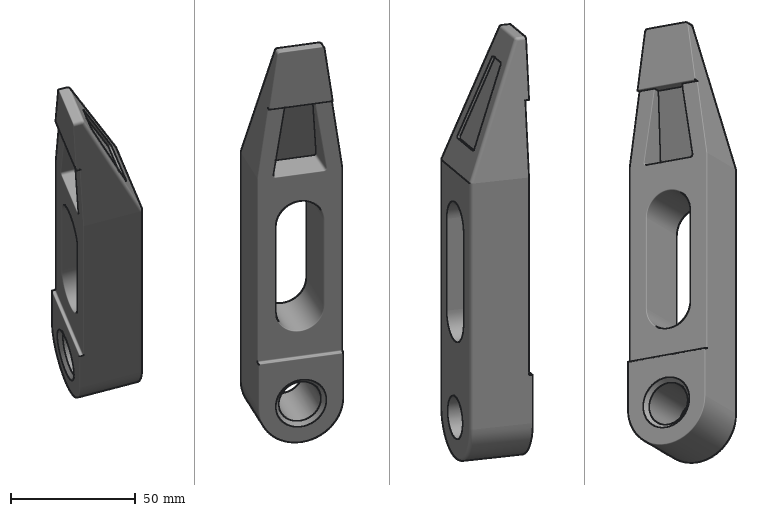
import cadquery as cq
import math

length = 177.8
width = 35.5
depth = 26.8

taper_start_z = 121.3
tip_width = 19.5
tip_depth = 4.6

back_radius = 1.5
front_radius = 0.4

relief_depth = 1.6
heel_pad_z = 38.0
heel_step_radius = 0.5
nose_pad_z = 152.4

slot_width = 20.0
slot_bottom_z = 49.8
slot_top_z = 108.3
hole_diameter = 17.6
hole_chamfer = 1.8
countersink_degrees = 45

pocket_bottom_z = 120.7
pocket_bottom_width = 22.4
pocket_top_width = 12.5
pocket_bottom_depth = 13.2
pocket_top_depth = 2.8
pocket_corner_radius = 1.0
pocket_draft_degrees = 2.5

recess_back_y = 22.5
recess_front_y = 9.0
recess_back_width = 20.0
recess_front_width = 10.3
recess_depth = 1.2
recess_corner_radius = 1.0

slope_rise = length - taper_start_z
slope_run = depth - tip_depth
slope_length = math.hypot(slope_rise, slope_run)
slope_normal = cq.Vector(0, slope_rise, slope_run).normalized()


def trapezoid(plane, low, low_width, high, high_width):
    """Symmetric trapezoid between two heights along the plane's second axis."""
    return plane.polyline([
        (-low_width / 2, low),
        (low_width / 2, low),
        (high_width / 2, high),
        (-high_width / 2, high),
    ]).close()


def side_prism(points):
    """Solid across the full width from a closed (Y, Z) outline."""
    return cq.Workplane("YZ").polyline(points).close().extrude(width / 2, both=True)


def make_blank():
    """Bar with a round heel and a nose that narrows both ways, before any rounding."""
    heel_radius = width / 2
    outline = (
        cq.Workplane("XZ")
        .moveTo(-heel_radius, heel_radius)
        .threePointArc((0, 0), (heel_radius, heel_radius))
        .lineTo(width / 2, taper_start_z)
        .lineTo(tip_width / 2, length)
        .lineTo(-tip_width / 2, length)
        .lineTo(-width / 2, taper_start_z)
        .close()
        .extrude(-depth)
    )
    profile = side_prism([
        (0, 0),
        (depth, 0),
        (depth, taper_start_z),
        (tip_depth, length),
        (0, length),
    ])
    return outline.intersect(profile)


def round_back_and_tip(body):
    """Round the rims of the back and of the slope and the two tip corners; the ridge between stays sharp."""
    slope_face = body.faces(cq.selectors.DirectionMinMaxSelector(slope_normal))
    tip_corners = body.faces(">Z").edges("|Y")
    ridge = body.faces(">Y").edges(">Z").val()
    rims = body.faces(">Y").edges().vals() + slope_face.edges().vals() + tip_corners.vals()
    return body.newObject([edge for edge in rims if not edge.isSame(ridge)]).fillet(back_radius)


def make_slot():
    """Upright through slot with round ends."""
    return (
        cq.Workplane("XZ")
        .center(0, (slot_bottom_z + slot_top_z) / 2)
        .slot2D(slot_top_z - slot_bottom_z, slot_width, 90)
        .extrude(-depth)
    )


def make_hole():
    """Through hole concentric with the heel, countersunk in the heel pad."""
    heel_center = cq.Workplane("XZ").center(0, width / 2)
    bore = heel_center.circle(hole_diameter / 2).extrude(-depth)
    countersink = (
        heel_center.circle(hole_diameter / 2 + hole_chamfer)
        .extrude(-hole_chamfer, taper=countersink_degrees)
    )
    return bore.union(countersink)


def make_pocket():
    """Pocket with drafted walls, rounded lower corners and a sloping floor."""
    mouth = cq.Workplane("XZ", origin=(0, relief_depth, 0))
    tapered_block = (
        trapezoid(mouth, pocket_bottom_z, pocket_bottom_width, nose_pad_z, pocket_top_width)
        .extrude(-pocket_bottom_depth, taper=pocket_draft_degrees)
    )
    lower_corners = cq.selectors.BoxSelector(
        (-width, relief_depth + front_radius, 0),
        (width, relief_depth + pocket_bottom_depth - front_radius, (pocket_bottom_z + nose_pad_z) / 2),
    )
    rounded_block = tapered_block.edges(lower_corners).fillet(pocket_corner_radius)
    floor_limit = side_prism([
        (relief_depth, pocket_bottom_z),
        (relief_depth + pocket_bottom_depth, pocket_bottom_z),
        (relief_depth + pocket_top_depth, nose_pad_z),
        (relief_depth, nose_pad_z),
    ])
    return rounded_block.intersect(floor_limit)


def make_recess():
    """Shallow trapezoid sunk square to the slope."""
    slope_foot = (0, depth, taper_start_z)
    slope_plane = cq.Plane(origin=slope_foot, xDir=(-1, 0, 0), normal=slope_normal.toTuple())
    low = (depth - recess_back_y) * slope_length / slope_run
    high = (depth - recess_front_y) * slope_length / slope_run
    return (
        trapezoid(cq.Workplane(slope_plane), low, recess_back_width, high, recess_front_width)
        .extrude(-recess_depth)
        .edges(cq.selectors.ParallelDirSelector(slope_normal))
        .fillet(recess_corner_radius)
    )


def cut_relief(body):
    """Step the front face back between the pads."""
    return body.cut(side_prism([
        (0, heel_pad_z),
        (relief_depth, heel_pad_z),
        (relief_depth, nose_pad_z),
        (0, nose_pad_z),
    ]))


def soften_pads(body):
    """Round the rims of both pads."""
    return body.faces("<Y").edges().fillet(front_radius)


def soften_relief(body):
    """Round the edges of the relieved face: its sides, the slot rim and the pocket mouth."""
    between_steps = cq.selectors.BoxSelector(
        (-width, relief_depth - front_radius, heel_pad_z + front_radius),
        (width, relief_depth + front_radius, nose_pad_z - front_radius),
    )
    return body.edges(between_steps).fillet(front_radius)


def round_heel_step(body):
    """Round the inner corner at the foot of the heel step."""
    step_foot = cq.selectors.NearestToPointSelector((0, relief_depth, heel_pad_z))
    return body.edges(step_foot).fillet(heel_step_radius)


body = round_back_and_tip(make_blank())
body = cut_relief(body).cut(make_slot()).cut(make_pocket())
body = round_heel_step(soften_relief(soften_pads(body)))
result = body.cut(make_hole()).cut(make_recess())